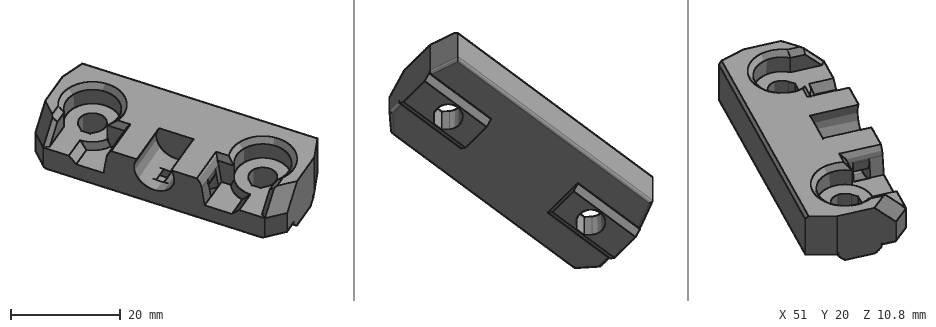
import cadquery as cq
import math

length = 51.0
depth = 20.0
height = 10.8
half_length = length / 2
half_depth = depth / 2
front = -half_depth
body_bottom = 1.4
overshoot = 2.55

rear_corner_x = 1.95
rear_corner_y = 5.5
front_corner = 3.05
rear_chamfer = 0.6
bottom_radius = 0.6

tab_length = 15.0
tab_half_width = 4.2
tab_chamfer = 1.2

screw_x = 17.25
screw_hole_radius = 2.65
screw_hole_flat = 2.85
counterbore_radius = 5.25
rim_chamfer = 1.0
counterbore_floor = 6.4
slot_half_width = 4.25
slot_rim_half_width = 5.5

corner_slope_run = 4.2
corner_slope_drop = height - counterbore_floor
slot_edge_chamfer = 0.75

pocket_floor = 4.85
pocket_slope_run = 1.5
pocket_rear = -2.9
boss_flare = 0.6
rib_half_width = 10.25

loop_center_x = 6.1
loop_center_z = 8.3
loop_radius = 3.55
flank_top = 9.0

strap_width = 3.2
strap_thickness = 1.85
strap_rear = -4.2

groove_diameter = 8.1
groove_center_z = 8.7
groove_length = 9.45


def box_between(x_min, x_max, y_min, y_max, z_min, z_max):
    size = (x_max - x_min, y_max - y_min, z_max - z_min)
    return cq.Workplane("XY").box(*size, centered=False).translate((x_min, y_min, z_min))


def mirror_pair(solid):
    """The solid together with its mirror image across the YZ plane."""
    return solid.union(solid.mirror("YZ"))


def make_block():
    right_side = [
        (half_length - front_corner, front),
        (half_length, front + front_corner),
        (half_length, half_depth - rear_corner_y),
        (half_length - rear_corner_x, half_depth),
    ]
    left_side = [(-x, y) for x, y in reversed(right_side)]
    block = (
        cq.Workplane("XY", origin=(0, 0, body_bottom))
        .polyline(right_side + left_side)
        .close()
        .extrude(height - body_bottom)
    )
    block = block.faces(">Y").edges(">Z").chamfer(rear_chamfer)
    rounded_edges = block.faces("<Z").edges("not(<Y)")
    return rounded_edges.fillet(bottom_radius)


def make_tab():
    """Tab under the +X end, flush with the end of the block."""
    tab_top = body_bottom + bottom_radius
    profile = [
        (-tab_half_width, tab_top),
        (-tab_half_width, tab_chamfer),
        (-tab_half_width + tab_chamfer, 0),
        (tab_half_width - tab_chamfer, 0),
        (tab_half_width, tab_chamfer),
        (tab_half_width, tab_top),
    ]
    return (
        cq.Workplane("YZ", origin=(half_length - tab_length, 0, 0))
        .polyline(profile)
        .close()
        .extrude(tab_length)
    )


def make_screw_hole():
    """Teardrop hole: 45 degree flanks run from the circle to a flat tip toward the front."""
    tangent = screw_hole_radius * math.sqrt(0.5)
    tip_half_width = screw_hole_radius * math.sqrt(2) - screw_hole_flat
    return (
        cq.Workplane("XY", origin=(screw_x, 0, 0))
        .moveTo(tangent, -tangent)
        .threePointArc((0, screw_hole_radius), (-tangent, -tangent))
        .lineTo(-tip_half_width, -screw_hole_flat)
        .lineTo(tip_half_width, -screw_hole_flat)
        .close()
        .extrude(height)
    )


def make_screw_cutter():
    """Through hole, counterbore with chamfered rim, and chamfered slot to the front."""
    hole = make_screw_hole()
    rim_radius = counterbore_radius + rim_chamfer
    counterbore = (
        cq.Workplane("XZ")
        .polyline([
            (0, counterbore_floor),
            (counterbore_radius, counterbore_floor),
            (counterbore_radius, height - rim_chamfer),
            (rim_radius, height),
            (0, height),
        ])
        .close()
        .revolve(360, (0, 0, 0), (0, 1, 0))
        .translate((screw_x, 0, 0))
    )
    slot_wall = screw_x + slot_half_width
    slot_start = -math.sqrt(rim_radius**2 - slot_rim_half_width**2)
    slot = (
        cq.Workplane("XZ", origin=(0, slot_start, 0))
        .polyline([
            (screw_x, counterbore_floor),
            (slot_wall, counterbore_floor),
            (slot_wall, height - rim_chamfer),
            (screw_x + slot_rim_half_width, height),
            (screw_x, height),
        ])
        .close()
        .extrude(slot_start - front)
    )
    return hole.union(counterbore).union(slot)


def make_corner_cutter():
    """Slope above the +X front corner, with a chamfer where it meets the slot wall."""
    corner_x = half_length - front_corner
    slope_rise = cq.Vector(0, corner_slope_run, corner_slope_drop)
    reach = front_corner + overshoot
    wedge_base = cq.Wire.makePolygon(
        [
            cq.Vector(corner_x - reach, front - reach, counterbore_floor),
            cq.Vector(half_length + overshoot, front + reach, counterbore_floor),
            cq.Vector(half_length + overshoot, front - reach, counterbore_floor),
        ],
        close=True,
    )
    slot_wall = screw_x + slot_half_width
    wall_inset = corner_x - slot_wall
    chamfer_base = cq.Wire.makePolygon(
        [
            cq.Vector(corner_x, front, counterbore_floor),
            cq.Vector(slot_wall, front + slot_edge_chamfer, counterbore_floor),
            cq.Vector(slot_wall, front - wall_inset, counterbore_floor),
        ],
        close=True,
    )
    wedge = cq.Workplane(cq.Solid.extrudeLinear(wedge_base, [], slope_rise))
    edge_chamfer = cq.Workplane(cq.Solid.extrudeLinear(chamfer_base, [], slope_rise))
    return wedge.union(edge_chamfer)


def make_pocket_cutter():
    """Pocket beside the rib, leaving a flared boss below the counterbore."""
    flank_angle = math.asin((flank_top - loop_center_z) / loop_radius)
    top_angle = math.asin((height - loop_center_z) / loop_radius)
    middle_angle = (flank_angle + top_angle) / 2

    def on_loop(angle):
        x = loop_center_x + loop_radius * math.cos(angle)
        z = loop_center_z + loop_radius * math.sin(angle)
        return (x, z)

    across = (
        cq.Workplane("XZ")
        .moveTo(screw_x, height)
        .lineTo(screw_x, counterbore_floor)
        .lineTo(screw_x - pocket_slope_run, pocket_floor)
        .lineTo(rib_half_width, pocket_floor)
        .lineTo(*on_loop(flank_angle))
        .threePointArc(on_loop(middle_angle), on_loop(top_angle))
        .close()
        .extrude(half_depth)
    )
    along = (
        cq.Workplane("YZ")
        .polyline([
            (front, pocket_floor),
            (pocket_rear, pocket_floor),
            (pocket_rear, height - rim_chamfer),
            (pocket_rear + rim_chamfer, height),
            (front, height),
        ])
        .close()
        .extrude(half_length)
    )
    boss = (
        cq.Workplane("XY", origin=(screw_x, 0, pocket_floor))
        .circle(counterbore_radius + boss_flare)
        .workplane(offset=counterbore_floor - pocket_floor)
        .circle(counterbore_radius)
        .loft()
    )
    return across.intersect(along).cut(boss)


def make_loop(radius):
    """Rounded bar around both loop centres, as wide in Y as the strap."""
    return (
        cq.Workplane("XZ", origin=(0, strap_rear, loop_center_z))
        .slot2D(2 * (loop_center_x + radius), 2 * radius)
        .extrude(strap_width)
    )


def make_strap_cutter():
    """Part of the strap loop below the rib flanks' upper edges, open to both pockets."""
    strap_loop = make_loop(loop_radius + strap_thickness).cut(make_loop(loop_radius))
    below_flank_top = box_between(-half_length, half_length, front, 0, 0, flank_top)
    return strap_loop.intersect(below_flank_top)


def make_groove_cutter():
    return (
        cq.Workplane("XZ", origin=(0, front + groove_length, groove_center_z))
        .circle(groove_diameter / 2)
        .extrude(groove_length)
    )


result = (
    make_block()
    .union(mirror_pair(make_tab()))
    .cut(mirror_pair(make_screw_cutter()))
    .cut(mirror_pair(make_corner_cutter()))
    .cut(mirror_pair(make_pocket_cutter()))
    .cut(make_strap_cutter())
    .cut(make_groove_cutter())
)